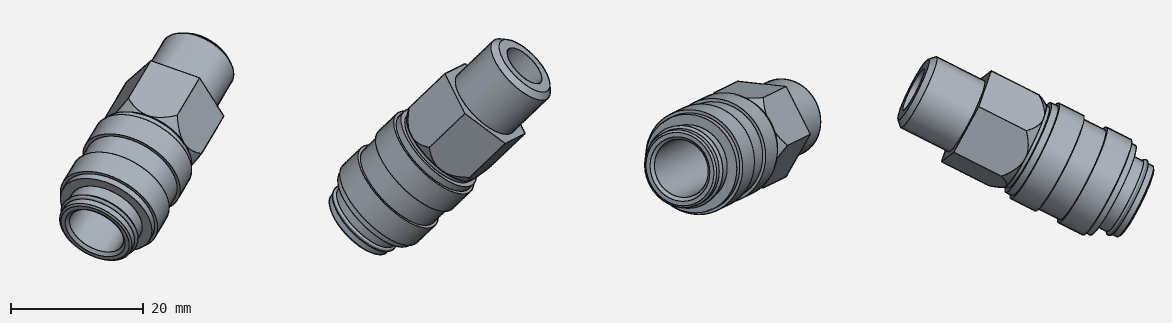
import cadquery as cq
import math

total_length = 38.0
sleeve_start = 4.0
sleeve_end = 18.43
collar_length = 4.18
collar_starts = (5.0, 13.15)
hex_start = 19.0
hex_end = 29.0

spigot_radius = 6.0
sleeve_radius = 7.6
collar_radius = 8.1
neck_radius = 6.85

hex_across_flats = 14.02
hex_corner_radius = hex_across_flats / 2 / math.cos(math.pi / 6)
hex_chamfer_angle = math.radians(30)

ring_center = 1.55
ring_section_radius = 0.38

through_radius = 3.5
socket_radius = 4.5
socket_depth = sleeve_end
mouth_bevel = 0.5
spigot_bevel_radial = 0.35
spigot_bevel_axial = 0.23
tail_bevel = 0.87


def cylinder(radius, start, end):
    """Cylinder along +Y from start to end."""
    return cq.Workplane("XZ", origin=(0, start, 0)).circle(radius).extrude(start - end)


def cone(start_radius, end_radius, start, end):
    """Solid cone or truncated cone along +Y."""
    profile = [(0, start), (start_radius, start), (end_radius, end), (0, end)]
    return cq.Workplane("XY").polyline(profile).close().revolve(360, (0, 0), (0, 1))


def chamfered_hexagon():
    """Hexagon whose socket-side corners are turned down by a cone."""
    prism = (
        cq.Workplane("XZ", origin=(0, hex_start, 0))
        .polygon(6, 2 * hex_corner_radius)
        .extrude(hex_start - hex_end)
    )
    face_radius = hex_across_flats / 2
    cone_end_radius = face_radius + (hex_end - hex_start) * math.tan(hex_chamfer_angle)
    return prism.intersect(cone(face_radius, cone_end_radius, hex_start, hex_end))


def retaining_ring():
    """Round-section ring half sunk into the spigot."""
    return (
        cq.Workplane("XY")
        .center(spigot_radius, ring_center)
        .circle(ring_section_radius)
        .revolve(360, (-spigot_radius, 0), (-spigot_radius, 1))
    )


spigot_tip_radius = spigot_radius - spigot_bevel_radial
body = cone(spigot_tip_radius, spigot_radius, 0, spigot_bevel_axial)
body = body.union(cylinder(spigot_radius, spigot_bevel_axial, sleeve_start))
body = body.union(retaining_ring())

body = body.union(cylinder(sleeve_radius, sleeve_start, sleeve_end))
for collar_start in collar_starts:
    body = body.union(cylinder(collar_radius, collar_start, collar_start + collar_length))
body = body.union(cylinder(neck_radius, sleeve_end, hex_start))

body = body.union(chamfered_hexagon())
tail_bevel_start = total_length - tail_bevel
body = body.union(cylinder(spigot_radius, hex_end, tail_bevel_start))
body = body.union(cone(spigot_radius, spigot_radius - tail_bevel, tail_bevel_start, total_length))

body = body.cut(cylinder(through_radius, 0, total_length))
body = body.cut(cylinder(socket_radius, 0, socket_depth))
result = body.cut(cone(socket_radius + mouth_bevel, socket_radius, 0, mouth_bevel))